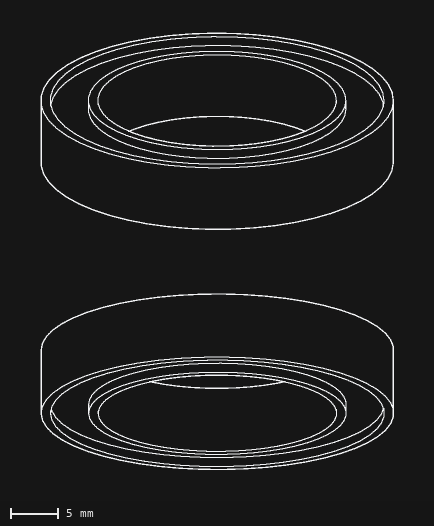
import cadquery as cq

outer_diameter = 37.0
bore_diameter = 25.0
ring_wall = 1.0
width = 7.0
shield_recess = 1.0

outer_ring_inner_diameter = outer_diameter - 2 * ring_wall
inner_ring_outer_diameter = bore_diameter + 2 * ring_wall
shield_width = width - 2 * shield_recess


def make_ring(outside_diameter, inside_diameter, height):
    """Plain ring around Z, centred on the middle plane."""
    return (
        cq.Workplane("XY")
        .workplane(offset=-height / 2)
        .circle(outside_diameter / 2)
        .circle(inside_diameter / 2)
        .extrude(height)
    )


outer_ring = make_ring(outer_diameter, outer_ring_inner_diameter, width)

inner_ring = make_ring(inner_ring_outer_diameter, bore_diameter, width)

shield = make_ring(outer_ring_inner_diameter, inner_ring_outer_diameter, shield_width)

result = cq.Compound.makeCompound([outer_ring.val(), inner_ring.val(), shield.val()])